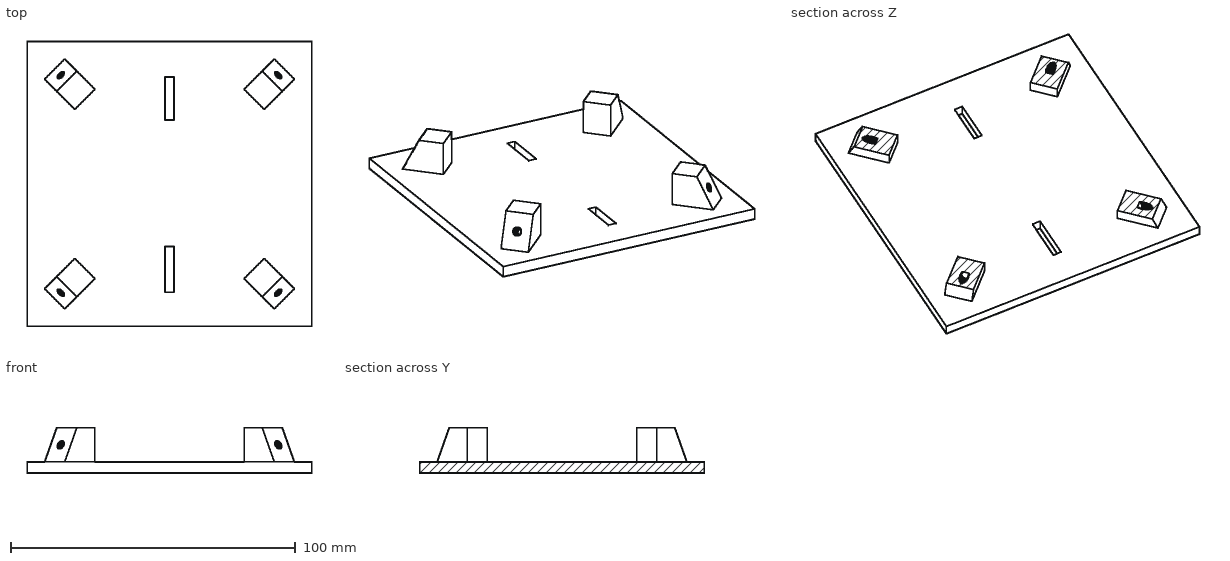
import cadquery as cq
import math

plate_side = 100.0
plate_thickness = 4.0

foot_count = 4
first_foot_angle = 45.0
foot_width = 10.0
foot_height = 12.0
foot_length = 15.0
foot_top_length = 9.0
foot_offset = 35.0

thread_minor_diameter = 2.53
thread_major_diameter = 3.09
thread_pitch = 0.5
thread_turns = 12

slot_width = 3.0
slot_offset = 30.0
rear_slot_length = 15.0
front_slot_length = 16.0


def make_slot(centre_y, length):
    return cq.Workplane("XY").center(0, centre_y).rect(slot_width, length).extrude(plate_thickness)


def make_plate():
    plate = cq.Workplane("XY").rect(plate_side, plate_side).extrude(plate_thickness)
    rear_slot = make_slot(slot_offset, rear_slot_length)
    front_slot = make_slot(-slot_offset, front_slot_length)
    return plate.cut(rear_slot).cut(front_slot)


def make_threaded_hole():
    """Solid shape of the hole along +Z from its mouth, with the thread as V-shaped rings."""
    minor_radius = thread_minor_diameter / 2
    major_radius = thread_major_diameter / 2
    profile = cq.Workplane("XZ").lineTo(major_radius, 0)
    for turn in range(thread_turns):
        groove_start = turn * thread_pitch
        profile = profile.lineTo(minor_radius, groove_start + thread_pitch / 2)
        profile = profile.lineTo(major_radius, groove_start + thread_pitch)
    hole_depth = thread_turns * thread_pitch
    return profile.lineTo(0, hole_depth).close().revolve(360, (0, 0), (0, 1))


def make_foot():
    """Foot lying along +X, standing on the plate."""
    base_z = plate_thickness
    top_z = plate_thickness + foot_height
    foot_inner_radius = math.hypot(foot_offset, foot_offset) - foot_length / 2
    outer_radius = foot_inner_radius + foot_length
    top_outer_radius = foot_inner_radius + foot_top_length
    foot = (
        cq.Workplane("XZ")
        .moveTo(foot_inner_radius, base_z)
        .lineTo(outer_radius, base_z)
        .lineTo(top_outer_radius, top_z)
        .lineTo(foot_inner_radius, top_z)
        .close()
        .extrude(foot_width / 2, both=True)
    )
    slope_run = outer_radius - top_outer_radius
    slope_tilt = math.degrees(math.atan2(foot_height, slope_run))
    slope_middle = ((outer_radius + top_outer_radius) / 2, 0, (base_z + top_z) / 2)
    hole = make_threaded_hole().rotate((0, 0, 0), (0, 1, 0), 180 + slope_tilt).translate(slope_middle)
    return foot.cut(hole)


result = make_plate()
foot = make_foot()
for index in range(foot_count):
    angle = first_foot_angle + index * 360 / foot_count
    result = result.union(foot.rotate((0, 0, 0), (0, 0, 1), angle))